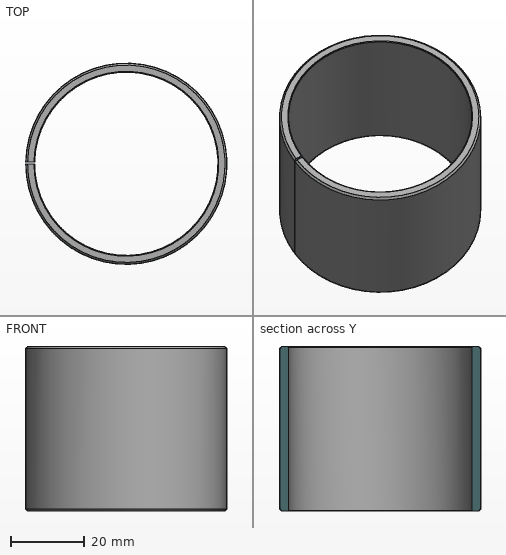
import cadquery as cq

outer_diameter = 55.0
wall = 2.5
height = 45.0
outer_chamfer = 0.55
inner_chamfer = 0.2
gap_angle = 1.0

outer_radius = outer_diameter / 2
inner_radius = outer_radius - wall

wall_section = [
    (-inner_radius - inner_chamfer, 0),
    (-outer_radius + outer_chamfer, 0),
    (-outer_radius, outer_chamfer),
    (-outer_radius, height - outer_chamfer),
    (-outer_radius + outer_chamfer, height),
    (-inner_radius - inner_chamfer, height),
    (-inner_radius, height - inner_chamfer),
    (-inner_radius, inner_chamfer),
]

result = (
    cq.Workplane("XZ")
    .polyline(wall_section)
    .close()
    .revolve(360 - gap_angle, (0, 0, 0), (0, 1, 0))
)